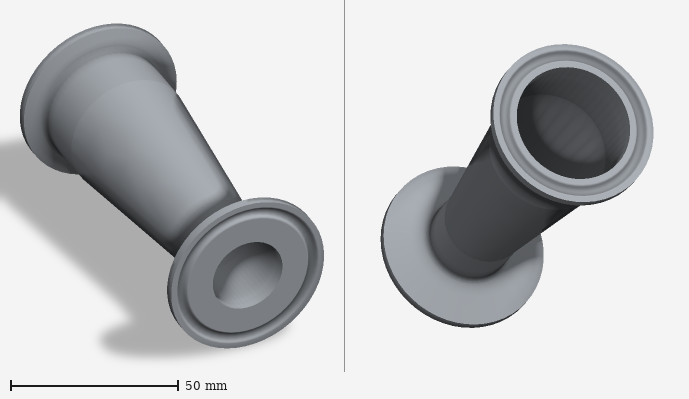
import cadquery as cq
import math

length = 107.0
flange_radius = 50.5 / 2
large_outer_radius = 38.1 / 2
large_bore_radius = 35.7 / 2
small_outer_radius = 25.4 / 2
small_bore_radius = 23.0 / 2
straight_length = 23.1

rim_thickness = 2.9
back_slope = math.radians(20)
neck_fillet = 1.7

groove_radius = 21.6
groove_half_width = 2.0
groove_floor_radius = 1.34
groove_lip_radius = 0.6
groove_wall_angle = math.radians(60)


def neck_position(tube_radius):
    """Distance from the end face to where the flange back meets the tube."""
    return rim_thickness + (flange_radius - tube_radius) * math.tan(back_slope)


def make_body():
    """Revolve the flanged, tapered wall about the X axis."""
    profile = (
        cq.Workplane("XY")
        .moveTo(0, large_bore_radius)
        .lineTo(0, flange_radius)
        .lineTo(rim_thickness, flange_radius)
        .lineTo(neck_position(large_outer_radius), large_outer_radius)
        .lineTo(straight_length, large_outer_radius)
        .lineTo(length - straight_length, small_outer_radius)
        .lineTo(length - neck_position(small_outer_radius), small_outer_radius)
        .lineTo(length - rim_thickness, flange_radius)
        .lineTo(length, flange_radius)
        .lineTo(length, small_bore_radius)
        .lineTo(length - straight_length, small_bore_radius)
        .lineTo(straight_length, large_bore_radius)
        .close()
    )
    return profile.revolve(360, (0, 0, 0), (1, 0, 0))


def fillet_neck(body, position, tube_radius):
    """Round the circular corner between a flange back and its tube."""
    margin = 0.1
    reach = tube_radius + margin
    corner = cq.selectors.BoxSelector(
        (position - margin, -reach, -reach),
        (position + margin, reach, reach),
        boundingbox=True,
    )
    return body.edges(corner).fillet(neck_fillet)


def arc_offset(radius, angle):
    """Axial and radial travel along an arc that starts parallel to the end face."""
    return radius * (1 - math.cos(angle)), radius * math.sin(angle)


def make_groove():
    """Ring cut from the X = 0 face: rounded lips, sloping walls and a round floor."""
    inner = groove_radius - groove_half_width
    outer = groove_radius + groove_half_width
    lip_mid_depth, lip_mid_width = arc_offset(groove_lip_radius, groove_wall_angle / 2)
    lip_depth, lip_width = arc_offset(groove_lip_radius, groove_wall_angle)
    floor_rise, floor_half_width = arc_offset(groove_floor_radius, groove_wall_angle)
    wall_width = groove_half_width - lip_width - floor_half_width
    wall_end_depth = lip_depth + wall_width * math.tan(groove_wall_angle)
    groove_depth = wall_end_depth + floor_rise
    profile = (
        cq.Workplane("XY")
        .moveTo(0, inner)
        .threePointArc((lip_mid_depth, inner + lip_mid_width), (lip_depth, inner + lip_width))
        .lineTo(wall_end_depth, groove_radius - floor_half_width)
        .threePointArc((groove_depth, groove_radius), (wall_end_depth, groove_radius + floor_half_width))
        .lineTo(lip_depth, outer - lip_width)
        .threePointArc((lip_mid_depth, outer - lip_mid_width), (0, outer))
        .close()
    )
    return profile.revolve(360, (0, 0, 0), (1, 0, 0))


body = make_body()
body = fillet_neck(body, neck_position(large_outer_radius), large_outer_radius)
body = fillet_neck(body, length - neck_position(small_outer_radius), small_outer_radius)

large_end_groove = make_groove()
small_end_groove = large_end_groove.mirror("YZ").translate((length, 0, 0))
result = body.cut(large_end_groove).cut(small_end_groove)